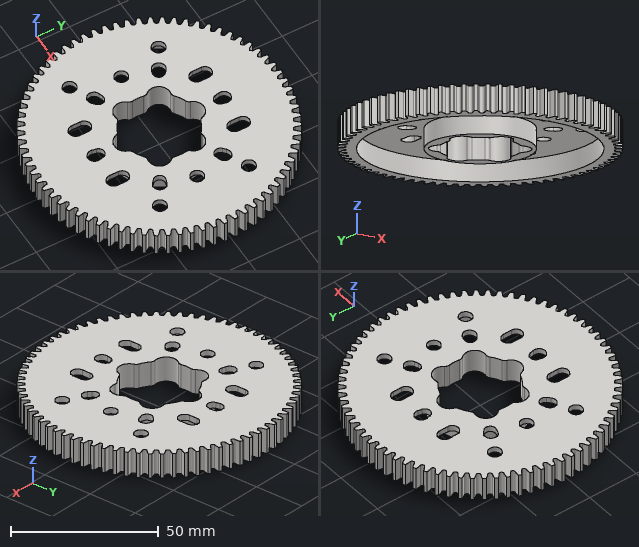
import cadquery as cq
import math

INCH = 25.4

TOOTH_COUNT = 74
DIAMETRAL_PITCH = 20 / INCH
PRESSURE_ANGLE = math.radians(14.5)
FACE_WIDTH = 0.375 * INCH
PITCH_RADIUS = TOOTH_COUNT / DIAMETRAL_PITCH / 2
TIP_RADIUS = PITCH_RADIUS + 1 / DIAMETRAL_PITCH
DEDENDUM_FACTOR = 1.2
ROOT_RADIUS = PITCH_RADIUS - DEDENDUM_FACTOR / DIAMETRAL_PITCH
BASE_RADIUS = PITCH_RADIUS * math.cos(PRESSURE_ANGLE)
ROOT_ARC_HEIGHT = 0.6
FLANK_START_RADIUS = ROOT_RADIUS + ROOT_ARC_HEIGHT
TOOTH_ANGLE = 2 * math.pi / TOOTH_COUNT
FIRST_TOOTH_ANGLE = math.pi / 2

WEB_THICKNESS = 3 / 32 * INCH
HUB_RADIUS = 0.75 * INCH
RIM_INNER_RADIUS = 1.65 * INCH
RECESS_DEPTH = FACE_WIDTH - WEB_THICKNESS

BORE_RADIUS = 14.3
LOBE_COUNT = 6
LOBE_FIRST_ANGLE = 90
LOBE_RADIUS = 4.2
LOBE_CENTRE_RADIUS = 13.27
LOBE_FILLET = 2.0

OUTER_BOLT_ANGLES = (30, 150, 210, 330)
STRAIGHT_SLOT_ANGLE = 60
BOLT_HOLE_RADIUS = 0.196 * INCH / 2
INNER_BOLT_RADIUS = 1.0 * INCH
OUTER_BOLT_RADIUS = 2.75 * INCH / 2
EGG_SMALL_RADIUS = 0.170 * INCH / 2
EGG_SMALL_CENTRE_RADIUS = 1.875 * INCH / 2
EGG_SLOT_COUNT = 6
EGG_FIRST_ANGLE = 30


def polar(radius, angle):
    """X and Y of a point at a radius and an angle in radians."""
    return (radius * math.cos(angle), radius * math.sin(angle))


def half_tooth_angle(radius):
    """Half the angle a tooth spans at a radius, from the involute of the base circle."""
    def involute(angle):
        return math.tan(angle) - angle

    flank_angle = math.acos(BASE_RADIUS / radius)
    return TOOTH_ANGLE / 4 + involute(PRESSURE_ANGLE) - involute(flank_angle)


def gear_blank():
    """Full-width gear with circular-arc flanks through three involute points and a round root."""
    flank_middle_radius = (FLANK_START_RADIUS + TIP_RADIUS) / 2
    start_half = half_tooth_angle(FLANK_START_RADIUS)
    middle_half = half_tooth_angle(flank_middle_radius)
    tip_half = half_tooth_angle(TIP_RADIUS)

    first_point = polar(FLANK_START_RADIUS, FIRST_TOOTH_ANGLE - start_half)
    outline = cq.Workplane("XY").moveTo(*first_point)
    for tooth in range(TOOTH_COUNT):
        centre = FIRST_TOOTH_ANGLE + tooth * TOOTH_ANGLE
        outline = outline.threePointArc(
            polar(flank_middle_radius, centre - middle_half),
            polar(TIP_RADIUS, centre - tip_half),
        )
        outline = outline.threePointArc(polar(TIP_RADIUS, centre), polar(TIP_RADIUS, centre + tip_half))
        outline = outline.threePointArc(
            polar(flank_middle_radius, centre + middle_half),
            polar(FLANK_START_RADIUS, centre + start_half),
        )
        next_start = polar(FLANK_START_RADIUS, centre + TOOTH_ANGLE - start_half)
        outline = outline.threePointArc(polar(ROOT_RADIUS, centre + TOOTH_ANGLE / 2), next_start)
    return outline.close().extrude(FACE_WIDTH)


def underside_recess():
    """Ring between the hub and the rim that leaves only the web at the top face."""
    return cq.Workplane("XY").circle(RIM_INNER_RADIUS).circle(HUB_RADIUS).extrude(RECESS_DEPTH)


def lobed_bore():
    """Round bore with overlapping round lobes, the corners between them filleted."""
    lobes = (
        cq.Workplane("XY")
        .polarArray(LOBE_CENTRE_RADIUS, LOBE_FIRST_ANGLE, 360, LOBE_COUNT)
        .circle(LOBE_RADIUS)
        .extrude(FACE_WIDTH)
    )
    bore = cq.Workplane("XY").circle(BORE_RADIUS).extrude(FACE_WIDTH).union(lobes)
    return bore.edges("|Z").fillet(LOBE_FILLET)


def round_holes():
    """Bolt holes: four on the outer circle and two on the inner circle along X."""
    outer = [polar(OUTER_BOLT_RADIUS, math.radians(angle)) for angle in OUTER_BOLT_ANGLES]
    inner = [(INNER_BOLT_RADIUS, 0), (-INNER_BOLT_RADIUS, 0)]
    return cq.Workplane("XY").pushPoints(outer + inner).circle(BOLT_HOLE_RADIUS).extrude(FACE_WIDTH)


def straight_slots():
    """Slots along Y, running from the inner bolt circle out to where Y equals its radius."""
    x, inner_y = polar(INNER_BOLT_RADIUS, math.radians(STRAIGHT_SLOT_ANGLE))
    outer_y = INNER_BOLT_RADIUS
    middle_y = (inner_y + outer_y) / 2
    length = outer_y - inner_y + 2 * BOLT_HOLE_RADIUS
    centres = [(sx * x, sy * middle_y) for sx in (-1, 1) for sy in (-1, 1)]
    width = 2 * BOLT_HOLE_RADIUS
    return cq.Workplane("XY").pushPoints(centres).slot2D(length, width, 90).extrude(FACE_WIDTH)


def egg_slots():
    """Bolt holes, each joined by tangent walls to a smaller hole nearer the axis."""
    centre_distance = INNER_BOLT_RADIUS - EGG_SMALL_CENTRE_RADIUS
    tangent_angle = math.acos((EGG_SMALL_RADIUS - BOLT_HOLE_RADIUS) / centre_distance)
    large_offset, large_half_width = polar(BOLT_HOLE_RADIUS, tangent_angle)
    small_offset, small_half_width = polar(EGG_SMALL_RADIUS, tangent_angle)
    large_x = INNER_BOLT_RADIUS + large_offset
    small_x = EGG_SMALL_CENTRE_RADIUS + small_offset
    slot = (
        cq.Workplane("XY")
        .moveTo(large_x, -large_half_width)
        .threePointArc((INNER_BOLT_RADIUS + BOLT_HOLE_RADIUS, 0), (large_x, large_half_width))
        .lineTo(small_x, small_half_width)
        .threePointArc((EGG_SMALL_CENTRE_RADIUS - EGG_SMALL_RADIUS, 0), (small_x, -small_half_width))
        .close()
        .extrude(FACE_WIDTH)
    )
    slots = cq.Workplane("XY")
    for index in range(EGG_SLOT_COUNT):
        angle = EGG_FIRST_ANGLE + index * 360 / EGG_SLOT_COUNT
        slots = slots.add(slot.rotate((0, 0, 0), (0, 0, 1), angle))
    return slots.combine()


result = (
    gear_blank()
    .cut(underside_recess())
    .cut(lobed_bore())
    .cut(round_holes())
    .cut(straight_slots())
    .cut(egg_slots())
)